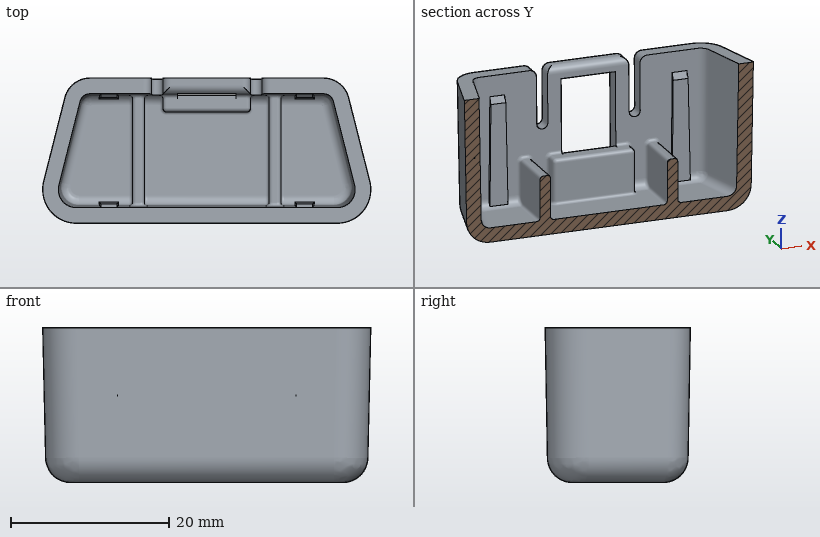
import cadquery as cq
import math

height = 19.6
length = 41.5
depth = 18.4
side_angle = math.radians(14.2)
draft_angle = 1.0
wall = 2.0
front_corner_radius = 4.27
back_corner_radius = 3.3
bottom_radius = 3.2

slot_width = 1.5
slot_depth = 8.0
slot_spacing = 12.55
rim_radius = 1.0
window_width = 7.35
window_top_gap = 1.65

ridge_top = 8.0
ridge_radius = 0.5
foot_radius = 0.4
rib_width = 1.5
rib_spacing = 17.25
block_length = 11.1
block_thickness = 2.1

pad_spacing = 24.75
pad_top_width = 2.0
pad_draft_angle = 0.9
pad_thickness = 0.395
pad_top_gap = 2.8
pad_bevel_height = 0.9

half_length = length / 2
half_depth = depth / 2
draft_slope = math.tan(math.radians(draft_angle))
inner_face_at_rim = half_depth - wall
inner_face_at_ridge = inner_face_at_rim - (height - ridge_top) * draft_slope
overlap = 0.4


def box(x_range, y_range, z_range):
    """Box between the given limits along X, Y and Z."""
    limits = (x_range, y_range, z_range)
    size = [high - low for low, high in limits]
    corner = tuple(low for low, high in limits)
    return cq.Workplane("XY").box(*size, centered=False).translate(corner)


def edges_within(solid, x_range, y_range, z_range):
    """Edges of the solid whose centres lie between the given limits."""
    low, high = zip(x_range, y_range, z_range)
    return solid.edges(cq.selectors.BoxSelector(low, high))


def tub(inset):
    """Solid tub, moved inwards by inset on every side except the open top."""
    front_radius = front_corner_radius - inset
    back_radius = back_corner_radius - inset
    edge_y = half_depth - inset

    tangent_x = half_length - front_corner_radius + front_radius * math.cos(side_angle)
    tangent_y = front_radius * (1 + math.sin(side_angle)) - edge_y
    front_x = tangent_x + (tangent_y + edge_y) * math.tan(side_angle)
    back_x = tangent_x - (edge_y - tangent_y) * math.tan(side_angle)
    corners = [(-front_x, -edge_y), (front_x, -edge_y), (back_x, edge_y), (-back_x, edge_y)]

    solid = (
        cq.Workplane("XY", origin=(0, 0, height))
        .polyline(corners)
        .close()
        .extrude(inset - height, taper=draft_angle)
    )
    mid_height = (height / 4, height * 3 / 4)
    front_zone = (-half_depth, -edge_y / 2)
    back_zone = (edge_y / 2, half_depth)
    for y_range, radius in ((front_zone, front_radius), (back_zone, back_radius)):
        for x_range in ((-length, -back_x / 2), (back_x / 2, length)):
            solid = edges_within(solid, x_range, y_range, mid_height).fillet(radius)
    return solid.faces("<Z").edges().fillet(bottom_radius - inset)


def rib(x):
    """Round-topped rib across the floor, running into both walls."""
    return (
        box((x - rib_width / 2, x + rib_width / 2), (-half_depth, half_depth), (0, ridge_top))
        .edges("|Y and >Z")
        .fillet(ridge_radius)
    )


def pocket_block():
    """Block against the back wall, rounded on its inner corners and along its top."""
    return (
        box(
            (-block_length / 2, block_length / 2),
            (inner_face_at_ridge - block_thickness, half_depth),
            (0, ridge_top),
        )
        .edges("(|Z and <Y) or (>Z and (not >Y))")
        .fillet(ridge_radius)
    )


def blend_foot(hollow, x, width, y_front):
    """Fillet where a rib or block of the given width meets the floor and the walls."""
    x_low = x - width / 2 - overlap / 2
    x_high = x + width / 2 + overlap / 2
    wall_face = inner_face_at_ridge - overlap
    floor_top = bottom_radius
    zones = (
        ((y_front, half_depth), (0, floor_top)),
        ((wall_face, half_depth), (floor_top, ridge_top + overlap)),
        ((-half_depth, -wall_face), (floor_top, ridge_top + overlap)),
    )
    feet = []
    for y_range, z_range in zones:
        feet += edges_within(hollow, (x_low, x_high), y_range, z_range).vals()
    return hollow.newObject(feet).fillet(foot_radius)


def back_pad(x):
    """Guide pad on the back wall: parallel to its face, bevelled at the top, widening downwards."""
    top = height - pad_top_gap
    bevel_end = top - pad_bevel_height
    wall_y = inner_face_at_rim - pad_top_gap * draft_slope
    face_y = wall_y - pad_bevel_height * draft_slope - pad_thickness
    half_top = pad_top_width / 2
    half_bottom = half_top + top * math.tan(math.radians(pad_draft_angle))
    side = (
        cq.Workplane("YZ", origin=(x - half_bottom, 0, 0))
        .polyline([
            (half_depth, top),
            (wall_y, top),
            (face_y, bevel_end),
            (face_y - bevel_end * draft_slope, 0),
            (half_depth, 0),
        ])
        .close()
        .extrude(2 * half_bottom)
    )
    front = (
        cq.Workplane("XZ")
        .polyline([(x - half_top, top), (x + half_top, top), (x + half_bottom, 0), (x - half_bottom, 0)])
        .close()
        .extrude(-half_depth)
    )
    return side.intersect(front)


def slot(x):
    """Round-ended slot cut down from the rim through the back wall."""
    end_z = height - slot_depth + slot_width / 2
    y_range = (inner_face_at_ridge - overlap, half_depth + overlap)
    straight = box((x - slot_width / 2, x + slot_width / 2), y_range, (end_z, height + overlap))
    round_end = (
        cq.Workplane("XZ", origin=(x, y_range[1], end_z))
        .circle(slot_width / 2)
        .extrude(y_range[1] - y_range[0])
    )
    return straight.union(round_end)


both_sides = (-1, 1)
hollow = tub(wall)
for side in both_sides:
    rib_x = side * rib_spacing / 2
    hollow = hollow.cut(rib(rib_x))
    hollow = blend_foot(hollow, rib_x, rib_width, -half_depth)
hollow = hollow.cut(pocket_block())
hollow = blend_foot(hollow, 0, block_length, 0)
for side in both_sides:
    pad = back_pad(side * pad_spacing / 2)
    hollow = hollow.cut(pad).cut(pad.mirror("XZ"))

result = tub(0).cut(hollow)

for side in both_sides:
    result = result.cut(slot(side * slot_spacing / 2))

rim_edges = edges_within(
    result,
    (-slot_spacing / 2 - slot_width, slot_spacing / 2 + slot_width),
    (inner_face_at_rim - overlap, half_depth - overlap),
    (height - overlap, height + overlap),
)
result = rim_edges.fillet(rim_radius)

window_x = (-window_width / 2, window_width / 2)
window_front = inner_face_at_ridge - foot_radius - overlap
result = result.cut(
    box(window_x, (window_front, half_depth + overlap), (ridge_top, height - window_top_gap))
)
result = result.cut(box(window_x, (inner_face_at_ridge, half_depth + overlap), (-overlap, ridge_top)))